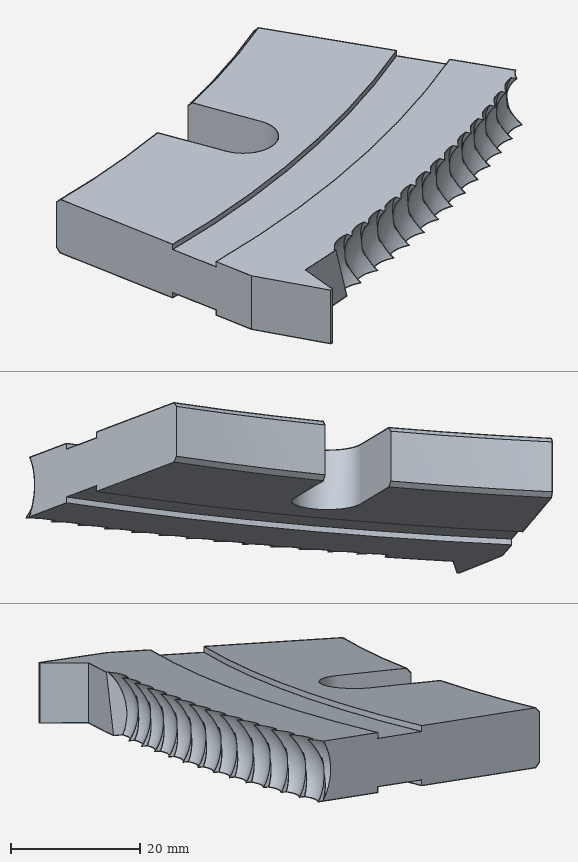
import cadquery as cq
import math

thickness = 9.5
segment_angle = 20.7
inner_radius = 174.25
outer_radius = 218.7
inner_chamfer = 0.8

channel_inner_radius = 197.6
channel_outer_radius = 206.3
channel_depth = 0.9

slot_angle = segment_angle / 2
slot_width = 10.95
slot_end_radius = 187.05

hook_start_x = 213.4
hook_tip_x = 225.8
hook_tip_low_y = 4.25
hook_tip_high_y = 4.7
hook_root_y = 6.8

tooth_count = 15
tooth_tip_radius = 217.6
tooth_pitch = 4.7
tooth_depth = 0.5
throat_radius = 8.1
first_groove_angle = 4.9
tooth_shift = 2.9
cutter_overlap = 0.1


def polar(radius, angle):
    a = math.radians(angle)
    return (radius * math.cos(a), radius * math.sin(a))


def ring(r_in, r_out, bottom, height):
    return cq.Workplane("XY").workplane(offset=bottom).circle(r_out).circle(r_in).extrude(height)


def make_body():
    root_angle = math.degrees(math.asin(hook_root_y / outer_radius))
    outline = (
        cq.Workplane("XY")
        .moveTo(inner_radius, 0)
        .lineTo(hook_start_x, 0)
        .lineTo(hook_tip_x, hook_tip_low_y)
        .lineTo(hook_tip_x, hook_tip_high_y)
        .lineTo(*polar(outer_radius, root_angle))
        .threePointArc(polar(outer_radius, slot_angle), polar(outer_radius, segment_angle))
        .lineTo(*polar(inner_radius, segment_angle))
        .threePointArc(polar(inner_radius, slot_angle), (inner_radius, 0))
        .close()
    )
    return outline.extrude(thickness / 2, both=True)


def chamfer_inner_edge(body):
    half = thickness / 2
    for side in (1, -1):
        corner = (
            cq.Workplane("XZ")
            .polyline([
                (inner_radius - inner_chamfer, side * half),
                (inner_radius + inner_chamfer, side * half),
                (inner_radius, side * (half - inner_chamfer)),
                (inner_radius - inner_chamfer, side * (half - inner_chamfer)),
            ])
            .close()
            .revolve(360, (0, 0, 0), (0, 1, 0))
        )
        body = body.cut(corner)
    return body


def cut_channels(body):
    for bottom in (thickness / 2 - channel_depth, -thickness / 2):
        body = body.cut(ring(channel_inner_radius, channel_outer_radius, bottom, channel_depth))
    return body


def make_slot():
    mouth_radius = inner_radius - slot_width
    straight_length = slot_end_radius - mouth_radius
    straight = cq.Workplane("XY").box(straight_length, slot_width, thickness)
    straight = straight.translate((mouth_radius + straight_length / 2, 0, 0))
    end = cq.Workplane("XY").circle(slot_width / 2).extrude(thickness / 2, both=True)
    slot = straight.union(end.translate((slot_end_radius, 0, 0)))
    return slot.rotate((0, 0, 0), (0, 0, 1), slot_angle)


def make_tooth_cutter():
    """Disc with a rounded rim, lying across the throat at angle zero."""
    half_chord = thickness / 2
    throat_center = tooth_tip_radius + math.sqrt(throat_radius**2 - half_chord**2)
    half_width = tooth_pitch / 2
    edge = half_width + cutter_overlap
    tilt = math.degrees(math.atan(tooth_shift / thickness))
    disc = (
        cq.Workplane("XY")
        .moveTo(0, -edge)
        .lineTo(throat_radius, -edge)
        .lineTo(throat_radius, -half_width)
        .threePointArc((throat_radius + tooth_depth, 0), (throat_radius, half_width))
        .lineTo(throat_radius, edge)
        .lineTo(0, edge)
        .close()
        .revolve(360, (0, 0, 0), (0, 1, 0))
    )
    return disc.rotate((0, 0, 0), (1, 0, 0), tilt).translate((throat_center, 0, 0))


def cut_teeth(body):
    cutter = make_tooth_cutter()
    pitch_angle = math.degrees(tooth_pitch / tooth_tip_radius)
    for i in range(tooth_count):
        angle = first_groove_angle + i * pitch_angle
        body = body.cut(cutter.rotate((0, 0, 0), (0, 0, 1), angle))
    return body


body = chamfer_inner_edge(make_body())
body = cut_channels(body)
body = body.cut(make_slot())
result = cut_teeth(body)